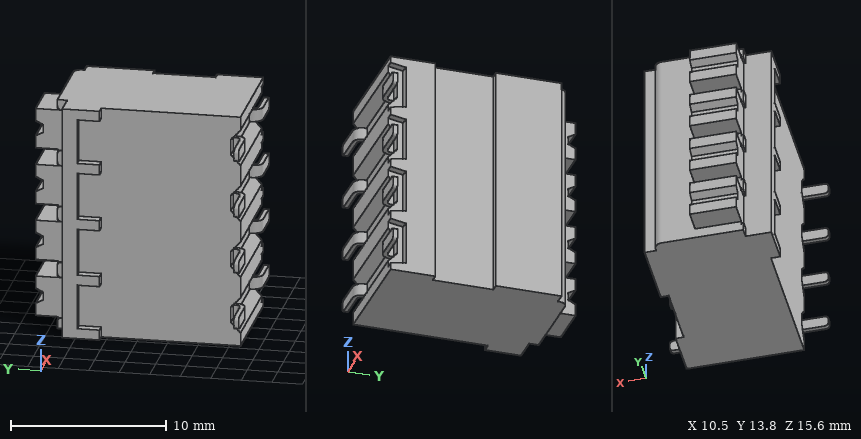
import cadquery as cq

POLES = 4
PITCH = 3.81
HEIGHT = 15.63
POLE_Z = [(i - (POLES - 1) / 2) * PITCH for i in range(POLES)]
DIVIDER_Z = [(i - POLES / 2) * PITCH for i in range(POLES + 1)]

BODY_LEFT = -3.63
BODY_RIGHT = 4.15
BODY_BACK = 11.57

FLANGE_LEFT = -4.24
FLANGE_FRONT = 10.58
TAB_FRONT = 9.13
TAB_HEIGHT = 0.69

RIDGE_LEFT = -2.4
RIDGE_RIGHT = 3.39
RIDGE_DEPTH = 0.64
RIDGE_RADIUS = 0.5
TOOTH_THICKNESS = 0.13
TOOTH_GAP = 2.78
TOOTH_RADIUS = 0.19

BUTTON_LEFT = RIDGE_LEFT
BUTTON_RIGHT = 0.65
BUTTON_HEIGHT = 2.69
BUTTON_BACK = 13.66
NOTCH_DEPTH = 0.5
NOTCH_MOUTH = 1.03
NOTCH_FLOOR = 0.5

GROOVE_DEPTH = 0.63
GROOVE_MOUTH = 2.4
GROOVE_FLOOR = 1.02

RECESS_LEFT = 3.63
RECESS_FRONT = 3.03
RECESS_BACK = 7.13
POCKET_DEPTH_LEFT = 1.0
POCKET_DEPTH_RIGHT = 1.05
POCKET_MOUTH = 3.27
POCKET_FLOOR = 2.89

PIN_FRONT = -0.19
PIN_REACH = 5.25
PIN_THICKNESS = 0.31
PIN_WIDTH = 0.83
PIN_TIP_RADIUS = 0.25
BEND_RADIUS = 0.31
BEND_CENTRE_X = 3.2
PIN_OVERLAP = 0.15

FULL_HEIGHT = (-HEIGHT / 2, HEIGHT / 2)


def block(x_range, y_range, z_range):
    """Box between two limits on each axis."""
    (x0, x1), (y0, y1), (z0, z1) = x_range, y_range, z_range
    return cq.Workplane("XY").box(x1 - x0, y1 - y0, z1 - z0, centered=False).translate((x0, y0, z0))


def prism_along_x(points, x_start, x_end):
    """Extrude a (Y, Z) outline from x_start to x_end."""
    return cq.Workplane("YZ", origin=(x_start, 0, 0)).polyline(points).close().extrude(x_end - x_start)


def trapezoid(y_wide, y_narrow, wide, narrow, z):
    """(Y, Z) outline, centred on z, that narrows from y_wide to y_narrow."""
    return [
        (y_wide, z - wide / 2),
        (y_narrow, z - narrow / 2),
        (y_narrow, z + narrow / 2),
        (y_wide, z + wide / 2),
    ]


def make_pocket(z):
    """Pocket between two lugs; its walls taper and its floor deepens slightly towards +X."""
    outline = trapezoid(0, POCKET_DEPTH_RIGHT, POCKET_MOUTH, POCKET_FLOOR, z)
    pocket = prism_along_x(outline, RECESS_LEFT, BODY_RIGHT)
    floor_wedge = (
        cq.Workplane("XY")
        .moveTo(RECESS_LEFT, POCKET_DEPTH_LEFT)
        .lineTo(BODY_RIGHT, POCKET_DEPTH_RIGHT)
        .lineTo(RECESS_LEFT, POCKET_DEPTH_RIGHT)
        .close()
        .extrude(HEIGHT, both=True)
    )
    return pocket.cut(floor_wedge)


def make_body():
    body = block((BODY_LEFT, BODY_RIGHT), (0, BODY_BACK), FULL_HEIGHT)
    recess = block((RECESS_LEFT, BODY_RIGHT), (RECESS_FRONT, RECESS_BACK), FULL_HEIGHT)
    body = body.cut(recess)
    for z in POLE_Z:
        groove = trapezoid(0, GROOVE_DEPTH, GROOVE_MOUTH, GROOVE_FLOOR, z)
        body = body.cut(prism_along_x(groove, BODY_LEFT, BODY_RIGHT))
        body = body.cut(make_pocket(z))
    return body


def make_flange():
    flange = block((FLANGE_LEFT, BODY_LEFT), (FLANGE_FRONT, BODY_BACK), FULL_HEIGHT)
    last_tab = (HEIGHT - TAB_HEIGHT) / 2
    for divider in DIVIDER_Z:
        z = max(-last_tab, min(last_tab, divider))
        tab_z = (z - TAB_HEIGHT / 2, z + TAB_HEIGHT / 2)
        flange = flange.union(block((FLANGE_LEFT, BODY_LEFT), (TAB_FRONT, FLANGE_FRONT), tab_z))
    return flange


def make_ridge():
    ridge_y = (BODY_BACK, BODY_BACK + RIDGE_DEPTH)
    ridge = block((RIDGE_LEFT, RIDGE_RIGHT), ridge_y, FULL_HEIGHT)
    ridge = ridge.edges(">X and >Y").fillet(RIDGE_RADIUS)
    tooth_left = RIDGE_LEFT - TOOTH_THICKNESS
    teeth = block((tooth_left, RIDGE_LEFT), ridge_y, FULL_HEIGHT)
    for z in POLE_Z:
        gap = block((tooth_left, RIDGE_LEFT), ridge_y, (z - TOOTH_GAP / 2, z + TOOTH_GAP / 2))
        teeth = teeth.cut(gap)
    inner_corners = cq.selectors.BoxSelector(
        (tooth_left, ridge_y[1] - TOOTH_RADIUS, POLE_Z[0] - PITCH / 2),
        (RIDGE_LEFT, ridge_y[1] + TOOTH_RADIUS, POLE_Z[-1] + PITCH / 2),
    )
    teeth = teeth.edges("|X").edges(inner_corners).fillet(TOOTH_RADIUS)
    return ridge.union(teeth)


def make_button(z):
    half = BUTTON_HEIGHT / 2
    button = block((BUTTON_LEFT, BUTTON_RIGHT), (BODY_BACK, BUTTON_BACK), (z - half, z + half))
    notch = trapezoid(BUTTON_BACK, BUTTON_BACK - NOTCH_DEPTH, NOTCH_MOUTH, NOTCH_FLOOR, z)
    return button.cut(prism_along_x(notch, BUTTON_LEFT, BUTTON_RIGHT))


def make_right_pin(z):
    """Flat strip that leaves the groove floor and bends outwards to +X."""
    outer_radius = BEND_RADIUS + PIN_THICKNESS
    pin_back = PIN_FRONT + PIN_THICKNESS
    bend_y = PIN_FRONT + outer_radius
    root_y = GROOVE_DEPTH + PIN_OVERLAP
    diagonal = 0.5 ** 0.5
    pin = (
        cq.Workplane("XY", origin=(0, 0, z - PIN_WIDTH / 2))
        .moveTo(PIN_REACH, PIN_FRONT)
        .lineTo(BEND_CENTRE_X, PIN_FRONT)
        .threePointArc(
            (BEND_CENTRE_X - outer_radius * diagonal, bend_y - outer_radius * diagonal),
            (BEND_CENTRE_X - outer_radius, bend_y),
        )
        .lineTo(BEND_CENTRE_X - outer_radius, root_y)
        .lineTo(BEND_CENTRE_X - BEND_RADIUS, root_y)
        .lineTo(BEND_CENTRE_X - BEND_RADIUS, bend_y)
        .threePointArc(
            (BEND_CENTRE_X - BEND_RADIUS * diagonal, bend_y - BEND_RADIUS * diagonal),
            (BEND_CENTRE_X, pin_back),
        )
        .lineTo(PIN_REACH, pin_back)
        .close()
        .extrude(PIN_WIDTH)
    )
    return pin.edges(">X and |Y").fillet(PIN_TIP_RADIUS)


result = make_body().union(make_flange()).union(make_ridge())
for pole_z in POLE_Z:
    right_pin = make_right_pin(pole_z)
    left_pin = right_pin.mirror("YZ")
    result = result.union(make_button(pole_z)).union(right_pin).union(left_pin)